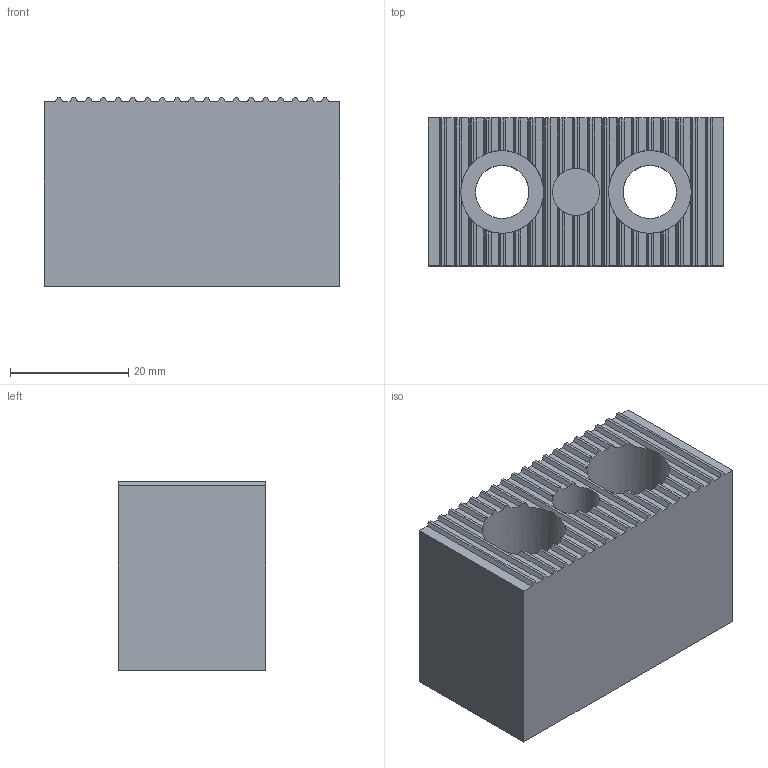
import cadquery as cq
import math

length = 50.0
width = 25.0
height = 32.0

ridge_pitch = 2.5
ridge_height = 0.7
ridge_base = ridge_pitch / 2
ridge_flank_angle = 30.0
ridge_crest = ridge_base - 2 * ridge_height * math.tan(math.radians(ridge_flank_angle))
ridge_count = round(length / ridge_pitch) - 1

body_height = height - ridge_height

screw_spacing = length / 2
screw_diameter = 9.0
counterbore_diameter = 14.0
counterbore_depth = 12.0

centre_hole_diameter = 8.0
centre_hole_depth = 10.0


def ridged_block():
    """Block with its ridged top, extruded along Y from the XZ profile."""
    profile = [(-length / 2, 0), (-length / 2, body_height)]
    for index in range(ridge_count):
        ridge_x = (index - (ridge_count - 1) / 2) * ridge_pitch
        profile += [
            (ridge_x - ridge_base / 2, body_height),
            (ridge_x - ridge_crest / 2, height),
            (ridge_x + ridge_crest / 2, height),
            (ridge_x + ridge_base / 2, body_height),
        ]
    profile += [(length / 2, body_height), (length / 2, 0)]
    return cq.Workplane("XZ").polyline(profile).close().extrude(width / 2, both=True)


def hole_from_top(x, diameter, depth):
    """Vertical flat-bottomed cutter reaching down from the ridge crests."""
    return cq.Workplane("XY", origin=(x, 0, height)).circle(diameter / 2).extrude(-depth)


result = ridged_block()
for side in (-1, 1):
    screw_x = side * screw_spacing / 2
    result = result.cut(hole_from_top(screw_x, screw_diameter, height))
    result = result.cut(hole_from_top(screw_x, counterbore_diameter, counterbore_depth))
result = result.cut(hole_from_top(0, centre_hole_diameter, centre_hole_depth))